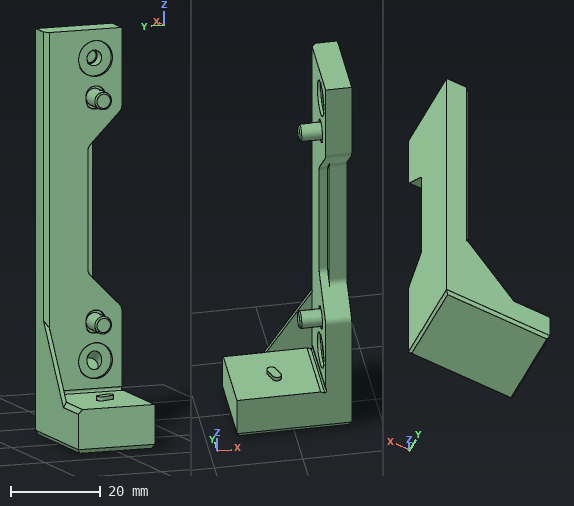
import cadquery as cq
import math

DEPTH = 26.0
WIDTH = 18.4
HEIGHT = 92.0

PLATE_THICKNESS = 6.0
BASE_HEIGHT = 10.0
EDGE_CHAMFER = 1.0
FOOT_CHAMFER_HEIGHT = 1.0
FOOT_CHAMFER_INSET = 0.55
PLATE_FACE = DEPTH - PLATE_THICKNESS

GROOVE_WIDTH = 1.1
GROOVE_DEPTH = 0.4
GROOVE_HEIGHT = 0.6
GROOVE_UNDERCUT = 0.2

MID_HEIGHT = 51.15
WINDOW_HALF_HEIGHT = 22.4
WINDOW_DEPTH = 6.3
STEP_WINDOW_DEPTH = 8.2
STEP_THICKNESS = 1.9
WINDOW_RADIUS = 2.0

GUSSET_LENGTH = 10.3
GUSSET_HEIGHT = 15.1
GUSSET_THICKNESS = EDGE_CHAMFER

FEATURE_Y = 6.35
HOLE_OFFSET = 34.2
HOLE_DIAMETER = 3.5
UPPER_HOLE_HEIGHT = MID_HEIGHT + HOLE_OFFSET
LOWER_HOLE_HEIGHT = MID_HEIGHT - HOLE_OFFSET
UPPER_HOLE_DEPTH = 3.7
UPPER_HOLE_BEVEL = 0.2
LOWER_HOLE_TILT = 34.0
LOWER_HOLE_LENGTH = 2.7
SPOTFACE_DIAMETER = 8.1
RECESS_DEPTH = 0.7

PIN_OFFSET = 25.4
PIN_HEIGHTS = (MID_HEIGHT + PIN_OFFSET, MID_HEIGHT - PIN_OFFSET)
PIN_DIAMETER = 4.0
PIN_PROJECTION = 5.0
PIN_SEAT_DEPTH = 5.0
PIN_CHAMFER = 0.4
PIN_RECESS_WIDTH = 4.5
PIN_RECESS_HEIGHT = 5.15
PIN_RECESS_RADIUS = 2.0

KEY_X = 9.8
KEY_Y = 8.1
KEY_WIDTH = 2.0
KEY_LENGTH = 4.4
KEY_HEIGHT = 0.9
KEY_ANGLE = 110.0


def make_l_block():
    """Base and plate in one L profile, with the chamfered foot and rear edges."""
    block = (
        cq.Workplane("XZ")
        .moveTo(0, 0)
        .lineTo(DEPTH, 0)
        .lineTo(DEPTH, HEIGHT)
        .lineTo(PLATE_FACE, HEIGHT)
        .lineTo(PLATE_FACE, BASE_HEIGHT)
        .lineTo(0, BASE_HEIGHT)
        .close()
        .extrude(-WIDTH)
    )
    block = block.faces("<Z").chamfer(FOOT_CHAMFER_INSET, FOOT_CHAMFER_HEIGHT)
    rear_base_edge = cq.selectors.NearestToPointSelector((PLATE_FACE / 2, WIDTH, BASE_HEIGHT))
    rear_plate_edge = cq.selectors.NearestToPointSelector((PLATE_FACE, WIDTH, (HEIGHT + BASE_HEIGHT) / 2))
    return block.edges(cq.selectors.SumSelector(rear_base_edge, rear_plate_edge)).chamfer(EDGE_CHAMFER)


def make_gusset():
    """Thin triangular rib along the rear edge, continued into the chamfered edges."""
    slope = GUSSET_HEIGHT / GUSSET_LENGTH
    overlap = 2 * EDGE_CHAMFER
    top = BASE_HEIGHT + GUSSET_HEIGHT + slope * overlap
    bottom = BASE_HEIGHT - overlap
    return (
        cq.Workplane("XZ", origin=(0, WIDTH - GUSSET_THICKNESS, 0))
        .moveTo(PLATE_FACE - GUSSET_LENGTH - overlap / slope, bottom)
        .lineTo(PLATE_FACE + overlap, bottom)
        .lineTo(PLATE_FACE + overlap, top)
        .close()
        .extrude(-GUSSET_THICKNESS)
    )


def make_groove():
    """Cutter for the relief in the inside corner: a slope into the base, then a round into the plate."""
    slope_end = (PLATE_FACE - GROOVE_UNDERCUT, BASE_HEIGHT - GROOVE_DEPTH)
    arc_middle = (PLATE_FACE + GROOVE_UNDERCUT, BASE_HEIGHT)
    return (
        cq.Workplane("XZ")
        .moveTo(PLATE_FACE - GROOVE_WIDTH, BASE_HEIGHT)
        .lineTo(*slope_end)
        .threePointArc(arc_middle, (PLATE_FACE, BASE_HEIGHT + GROOVE_HEIGHT))
        .lineTo(PLATE_FACE - GROOVE_WIDTH, BASE_HEIGHT + GROOVE_HEIGHT)
        .close()
        .extrude(-(WIDTH - GUSSET_THICKNESS))
    )


def make_window(depth, thickness):
    """Cutter for the window, with 45 degree flanks and all four bends rounded."""
    floor_half = WINDOW_HALF_HEIGHT - depth
    margin = 2 * WINDOW_RADIUS
    outer_half = WINDOW_HALF_HEIGHT + margin
    cutter = (
        cq.Workplane("YZ", origin=(PLATE_FACE, 0, MID_HEIGHT))
        .moveTo(-margin, -outer_half)
        .lineTo(0, -outer_half)
        .lineTo(0, -WINDOW_HALF_HEIGHT)
        .lineTo(depth, -floor_half)
        .lineTo(depth, floor_half)
        .lineTo(0, WINDOW_HALF_HEIGHT)
        .lineTo(0, outer_half)
        .lineTo(-margin, outer_half)
        .close()
        .extrude(thickness)
    )
    bends = cq.selectors.BoxSelector(
        (PLATE_FACE, -WINDOW_RADIUS, MID_HEIGHT - WINDOW_HALF_HEIGHT - WINDOW_RADIUS),
        (DEPTH, WINDOW_DEPTH + margin, MID_HEIGHT + WINDOW_HALF_HEIGHT + WINDOW_RADIUS),
    )
    return cutter.edges("|X").edges(bends).fillet(WINDOW_RADIUS)


def drill(diameter, height, length):
    """Cylinder that enters the plate face squarely at the given height."""
    return (
        cq.Workplane("YZ", origin=(PLATE_FACE, FEATURE_Y, height))
        .circle(diameter / 2)
        .extrude(length)
    )


def make_upper_hole():
    """Square blind hole with a bevel around its floor."""
    return drill(HOLE_DIAMETER, UPPER_HOLE_HEIGHT, UPPER_HOLE_DEPTH).faces(">X").chamfer(UPPER_HOLE_BEVEL)


def make_lower_hole():
    """Flat-ended cylinder that slopes down into the plate, extended out of the spotface."""
    tilt = math.radians(LOWER_HOLE_TILT)
    axis = cq.Vector(math.cos(tilt), 0, -math.sin(tilt))
    lead_in = HOLE_DIAMETER
    start = cq.Vector(PLATE_FACE + RECESS_DEPTH, FEATURE_Y, LOWER_HOLE_HEIGHT) - axis * lead_in
    hole = cq.Solid.makeCylinder(HOLE_DIAMETER / 2, lead_in + LOWER_HOLE_LENGTH, start, axis)
    return cq.Workplane(obj=hole)


def make_pin_recess(height):
    """Shallow upright recess with rounded corners around a pin."""
    return (
        cq.Workplane("YZ", origin=(PLATE_FACE, FEATURE_Y, height))
        .rect(PIN_RECESS_WIDTH, PIN_RECESS_HEIGHT)
        .extrude(RECESS_DEPTH)
        .edges("|X")
        .fillet(PIN_RECESS_RADIUS)
    )


def make_key():
    """Raised round-ended key on top of the base."""
    return (
        cq.Workplane("XY", origin=(KEY_X, KEY_Y, BASE_HEIGHT))
        .slot2D(KEY_LENGTH, KEY_WIDTH, KEY_ANGLE)
        .extrude(KEY_HEIGHT)
    )


def make_bracket():
    body = make_l_block().union(make_gusset())
    body = body.cut(make_groove())
    body = body.cut(make_window(WINDOW_DEPTH, PLATE_THICKNESS))
    body = body.cut(make_window(STEP_WINDOW_DEPTH, STEP_THICKNESS))
    for hole_height in (UPPER_HOLE_HEIGHT, LOWER_HOLE_HEIGHT):
        body = body.cut(drill(SPOTFACE_DIAMETER, hole_height, RECESS_DEPTH))
    for pin_height in PIN_HEIGHTS:
        body = body.cut(make_pin_recess(pin_height))
        body = body.cut(drill(PIN_DIAMETER, pin_height, PIN_SEAT_DEPTH))
    body = body.cut(make_upper_hole())
    body = body.cut(make_lower_hole())
    return body.union(make_key())


def make_pin(height):
    """Dowel pin seated in the plate, chamfered at its free end."""
    return (
        cq.Workplane("YZ", origin=(PLATE_FACE - PIN_PROJECTION, FEATURE_Y, height))
        .circle(PIN_DIAMETER / 2)
        .extrude(PIN_PROJECTION + PIN_SEAT_DEPTH)
        .faces("<X")
        .chamfer(PIN_CHAMFER)
    )


bracket = make_bracket()
pins = [make_pin(height).val() for height in PIN_HEIGHTS]
result = cq.Compound.makeCompound([bracket.val(), *pins])